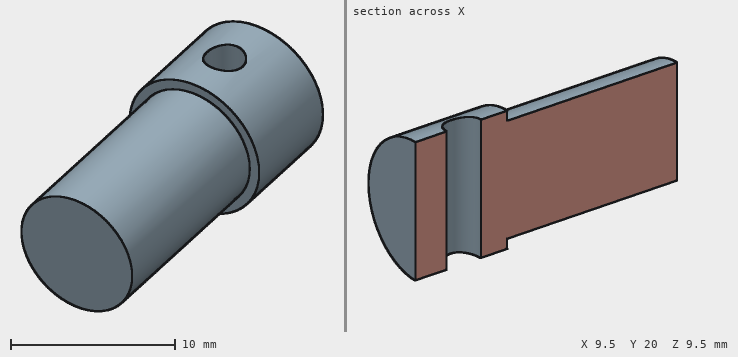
import cadquery as cq

total_length = 20.0
head_diameter = 9.5
head_length = 7.05
shank_diameter = 8.12
hole_diameter = 2.62
hole_from_head_end = 3.7

head_end = total_length / 2
shank_length = total_length - head_length


def cylinder_towards_front(diameter, length, start_y):
    """Solid cylinder running from start_y in the -Y direction."""
    plane = cq.Workplane("XZ", origin=(0, start_y, 0))
    return plane.circle(diameter / 2).extrude(length)


head = cylinder_towards_front(head_diameter, head_length, head_end)
shank = cylinder_towards_front(shank_diameter, shank_length, head_end - head_length)

cross_hole = (
    cq.Workplane("XY", origin=(0, head_end - hole_from_head_end, 0))
    .circle(hole_diameter / 2)
    .extrude(head_diameter, both=True)
)

result = head.union(shank).cut(cross_hole)